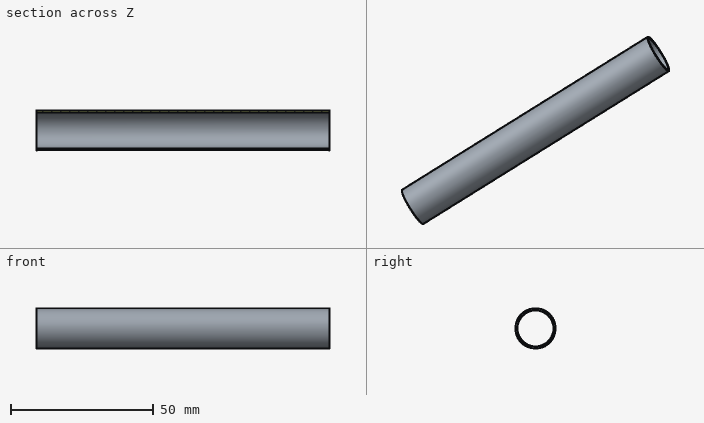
import cadquery as cq

tube_length = 103.1
outer_diameter = 14.2
bore_diameter = 12.6
rim_chamfer = 0.1

tube = (
    cq.Workplane("YZ")
    .circle(outer_diameter / 2)
    .circle(bore_diameter / 2)
    .extrude(tube_length)
)

result = tube.faces("<X or >X").edges().chamfer(rim_chamfer)